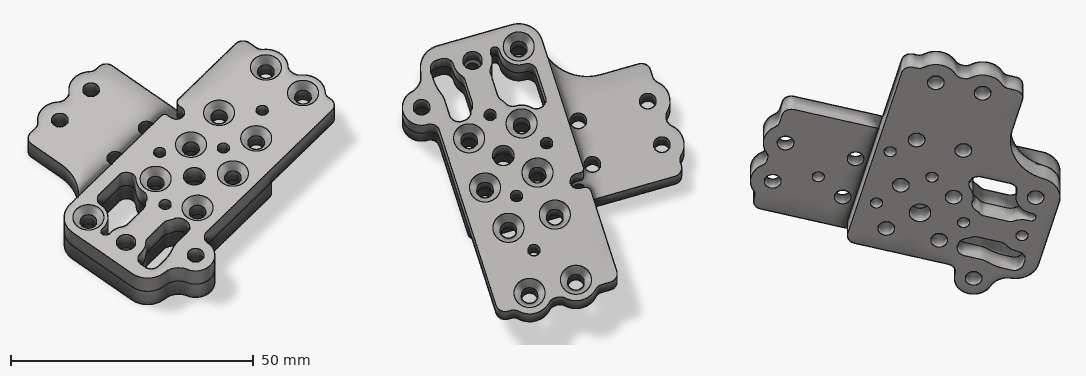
import cadquery as cq
import math

STACK_HEIGHT = 9.5
PLATE_THICKNESS = STACK_HEIGHT / 2

LEFT_EDGE = -15.0
RIGHT_EDGE = 11.0
TOP_EDGE = 33.05
BOTTOM_EDGE = -27.0

ARM_LEFT_EDGE = -35.0
ARM_TOP_EDGE = 13.0
ARM_BOTTOM_EDGE = -12.85
ARM_SWEEP_RADIUS = 10.0

SMALL_RADIUS = 2.0
BOTTOM_CORNER_RADIUS = 5.0
EAR_LOWER_FILLET = 4.05

SCREW_DIAMETER = 3.4
SCREW_PITCH = 10.0
SCREW_ROW_SPACING = 14.95
LOBE_RADIUS = 4.6
LOBE_INSET = 2.55
UPPER_LEFT_LOBE_X = -6.4
ARM_UPPER_LOBE_Y = 5.5

SINK_DIAMETER = 6.4
SINK_ANGLE = 90
SQUARE_SCREW_OFFSET = 5.65

EAR_RADIUS = 4.0
EAR_CENTER = (13.05, -15.0)

NOTCH_CENTER = (-13.15, 9.9)
NOTCH_RADIUS = 1.7
NOTCH_UPPER_LIP = 1.25
NOTCH_LOWER_LIP = 0.9
NOTCH_PIN_CENTER = (-13.2, 10.0)

PIN_DIAMETER = 2.5
PIN_HEAD_DIAMETER = 4.0
CENTER_DIAMETER = 4.4
PIN_OFFSET = 9.3
FAR_PIN_CENTER = (0, 21.75)
HEAD_PIN_CENTER = (0, -21.8)

WALL = 3.0
CLEARANCE_RADIUS = 4.05
RIB_HALF_WIDTH = 2.75
SLOT_BOTTOM = -23.35
BEND_STEP = 0.95
BEND_RADIUS = 10.0
FILLET_REACH = CLEARANCE_RADIUS + SMALL_RADIUS

LEFT_TURN = 1
RIGHT_TURN = -1
UP = 1
DOWN = -1
SHORTEST_LINE = 0.0005

LEFT_CORNER_CENTER = (LEFT_EDGE + BOTTOM_CORNER_RADIUS, BOTTOM_EDGE + BOTTOM_CORNER_RADIUS)
RIGHT_CORNER_CENTER = (RIGHT_EDGE - BOTTOM_CORNER_RADIUS, BOTTOM_EDGE + BOTTOM_CORNER_RADIUS)
UPPER_LEFT_LOBE = (UPPER_LEFT_LOBE_X, TOP_EDGE - LOBE_INSET)
ARM_UPPER_LOBE = (ARM_LEFT_EDGE + LOBE_INSET, ARM_UPPER_LOBE_Y)
NEAR_PIN_CENTER = (0, -PIN_OFFSET)
PIN_CENTERS = [(0, PIN_OFFSET), NEAR_PIN_CENTER, (-PIN_OFFSET, 0)]
LEFT_SCREW = (-SQUARE_SCREW_OFFSET, -SQUARE_SCREW_OFFSET)
RIGHT_SCREW = (SQUARE_SCREW_OFFSET, -SQUARE_SCREW_OFFSET)
SQUARE_SCREWS = [
    (x, y)
    for x in (-SQUARE_SCREW_OFFSET, SQUARE_SCREW_OFFSET)
    for y in (-SQUARE_SCREW_OFFSET, SQUARE_SCREW_OFFSET)
]
UPPER_GRID_SCREWS = [
    (UPPER_LEFT_LOBE[0] + column * SCREW_PITCH, UPPER_LEFT_LOBE[1] - row * SCREW_ROW_SPACING)
    for column in range(2)
    for row in range(2)
]
ARM_GRID_SCREWS = [
    (ARM_UPPER_LOBE[0] + row * SCREW_ROW_SPACING, ARM_UPPER_LOBE[1] - column * SCREW_PITCH)
    for column in range(2)
    for row in range(2)
]


def leg(hypotenuse, other_leg):
    """Second leg of a right triangle."""
    return math.sqrt(hypotenuse**2 - other_leg**2)


def center_touching(first, first_distance, second, second_distance):
    """Point at given distances from two others, on the right of the way from first to second."""
    dx = second[0] - first[0]
    dy = second[1] - first[1]
    span = math.hypot(dx, dy)
    along = (first_distance**2 - second_distance**2 + span**2) / (2 * span)
    aside = leg(first_distance, along)
    return (
        first[0] + (along * dx + aside * dy) / span,
        first[1] + (along * dy - aside * dx) / span,
    )


def tangent_line(first, second):
    """Ends of the straight line from one directed arc (centre, radius, turn) on to the next."""
    (x1, y1), radius1, turn1 = first
    (x2, y2), radius2, turn2 = second
    span = math.hypot(x2 - x1, y2 - y1)
    cosine = (turn1 * radius1 - turn2 * radius2) / span
    normal = math.atan2(y2 - y1, x2 - x1) - math.acos(max(-1, min(1, cosine)))
    start = (x1 + turn1 * radius1 * math.cos(normal), y1 + turn1 * radius1 * math.sin(normal))
    end = (x2 + turn2 * radius2 * math.cos(normal), y2 + turn2 * radius2 * math.sin(normal))
    return start, end


def arc_middle(center, radius, turn, start, end):
    """Point halfway along a directed arc."""
    start_angle = math.atan2(start[1] - center[1], start[0] - center[0])
    end_angle = math.atan2(end[1] - center[1], end[0] - center[0])
    sweep = (end_angle - start_angle) * turn % math.tau
    middle = start_angle + turn * sweep / 2
    return (center[0] + radius * math.cos(middle), center[1] + radius * math.sin(middle))


BETWEEN_HOLES = center_touching(LEFT_SCREW, FILLET_REACH, NEAR_PIN_CENTER, FILLET_REACH)


def smooth_slab(arcs, bottom, height):
    """Slab bounded by directed arcs that run into each other or are joined by tangent lines."""
    lines = [tangent_line(arc, arcs[(i + 1) % len(arcs)]) for i, arc in enumerate(arcs)]
    here = lines[-1][1]
    outline = cq.Workplane("XY", origin=(0, 0, bottom)).moveTo(*here)
    for arc, (line_start, line_end) in zip(arcs, lines):
        outline = outline.threePointArc(arc_middle(*arc, here, line_start), line_start)
        here = line_start
        if math.dist(line_start, line_end) > SHORTEST_LINE:
            outline = outline.lineTo(*line_end)
            here = line_end
    return outline.close().extrude(height)


def corner(x, y, x_inward, y_inward, radius=SMALL_RADIUS):
    """Rounded outer corner, given its sharp point and the directions to the inside."""
    return ((x + x_inward * radius, y + y_inward * radius), radius, LEFT_TURN)


def lobe_arcs(first_lobe, along):
    """Two lobes with fillets on both sides; the plate lies on the left of the way along the edge."""
    along_x, along_y = along
    fillet_outward = LOBE_INSET + SMALL_RADIUS
    fillet_along = leg(LOBE_RADIUS + SMALL_RADIUS, fillet_outward)

    def place(forward, outward):
        return (
            first_lobe[0] + forward * along_x + outward * along_y,
            first_lobe[1] + forward * along_y - outward * along_x,
        )

    arcs = []
    for lobe in (0, SCREW_PITCH):
        arcs.append((place(lobe - fillet_along, fillet_outward), SMALL_RADIUS, RIGHT_TURN))
        arcs.append((place(lobe, 0), LOBE_RADIUS, LEFT_TURN))
        arcs.append((place(lobe + fillet_along, fillet_outward), SMALL_RADIUS, RIGHT_TURN))
    return arcs


def right_side_arcs(top):
    """Lower right corner, ear with its fillets, and upper right corner; both plates share them."""
    lower_fillet = center_touching(
        RIGHT_CORNER_CENTER,
        BOTTOM_CORNER_RADIUS + EAR_LOWER_FILLET,
        EAR_CENTER,
        EAR_RADIUS + EAR_LOWER_FILLET,
    )
    upper_fillet_x = RIGHT_EDGE + SMALL_RADIUS
    upper_fillet_rise = leg(EAR_RADIUS + SMALL_RADIUS, EAR_CENTER[0] - upper_fillet_x)
    upper_fillet = (upper_fillet_x, EAR_CENTER[1] + upper_fillet_rise)
    return [
        (RIGHT_CORNER_CENTER, BOTTOM_CORNER_RADIUS, LEFT_TURN),
        (lower_fillet, EAR_LOWER_FILLET, RIGHT_TURN),
        (EAR_CENTER, EAR_RADIUS, LEFT_TURN),
        (upper_fillet, SMALL_RADIUS, RIGHT_TURN),
        corner(RIGHT_EDGE, top, -1, -1),
    ]


def upper_plate_blank():
    notch_x, notch_y = NOTCH_CENTER
    upper_right_lobe = (UPPER_LEFT_LOBE[0] + SCREW_PITCH, UPPER_LEFT_LOBE[1])
    arcs = [
        *right_side_arcs(TOP_EDGE),
        *lobe_arcs(upper_right_lobe, along=(-1, 0)),
        corner(LEFT_EDGE, TOP_EDGE, 1, -1),
        corner(LEFT_EDGE, notch_y + NOTCH_RADIUS, 1, 1, NOTCH_UPPER_LIP),
        ((notch_x, notch_y), NOTCH_RADIUS, RIGHT_TURN),
        corner(LEFT_EDGE, notch_y - NOTCH_RADIUS, 1, -1, NOTCH_LOWER_LIP),
        (LEFT_CORNER_CENTER, BOTTOM_CORNER_RADIUS, LEFT_TURN),
    ]
    return smooth_slab(arcs, 0, PLATE_THICKNESS)


def lower_plate_blank():
    sweep_y = ARM_BOTTOM_EDGE - ARM_SWEEP_RADIUS
    sweep_reach = leg(BOTTOM_CORNER_RADIUS + ARM_SWEEP_RADIUS, sweep_y - LEFT_CORNER_CENTER[1])
    arcs = [
        *right_side_arcs(ARM_TOP_EDGE),
        corner(ARM_LEFT_EDGE, ARM_TOP_EDGE, 1, -1),
        *lobe_arcs(ARM_UPPER_LOBE, along=(0, -1)),
        corner(ARM_LEFT_EDGE, ARM_BOTTOM_EDGE, 1, 1),
        ((LEFT_CORNER_CENTER[0] - sweep_reach, sweep_y), ARM_SWEEP_RADIUS, RIGHT_TURN),
        (LEFT_CORNER_CENTER, BOTTOM_CORNER_RADIUS, LEFT_TURN),
    ]
    return smooth_slab(arcs, -PLATE_THICKNESS, PLATE_THICKNESS)


def fillet_on_wall(fillet_x, hole, upward):
    """Centre of a fillet that leads from an upright wall onto a clearance circle."""
    return (fillet_x, hole[1] + upward * leg(FILLET_REACH, fillet_x - hole[0]))


def window_round(center):
    return (center, SMALL_RADIUS, RIGHT_TURN)


def around_hole(center):
    return (center, CLEARANCE_RADIUS, LEFT_TURN)


def window_cutter(arcs):
    return smooth_slab(arcs, -PLATE_THICKNESS, 2 * PLATE_THICKNESS)


def left_window():
    fillet_x = LEFT_EDGE + WALL + SMALL_RADIUS
    rib_x = -RIB_HALF_WIDTH - SMALL_RADIUS
    slot_left = LEFT_CORNER_CENTER[0] + CLEARANCE_RADIUS
    slot_right = HEAD_PIN_CENTER[0] - CLEARANCE_RADIUS
    slot_radius = (slot_right - slot_left) / 2
    slot_center = (slot_left + slot_radius, SLOT_BOTTOM + slot_radius)
    return window_cutter([
        window_round(fillet_on_wall(fillet_x, LEFT_SCREW, DOWN)),
        around_hole(LEFT_SCREW),
        window_round(BETWEEN_HOLES),
        around_hole(NEAR_PIN_CENTER),
        window_round(fillet_on_wall(rib_x, NEAR_PIN_CENTER, DOWN)),
        window_round(fillet_on_wall(rib_x, HEAD_PIN_CENTER, UP)),
        around_hole(HEAD_PIN_CENTER),
        (slot_center, slot_radius, RIGHT_TURN),
        around_hole(LEFT_CORNER_CENTER),
        window_round(fillet_on_wall(fillet_x, LEFT_CORNER_CENTER, UP)),
    ])


def right_window():
    wall_x = RIGHT_EDGE - WALL
    rib_x = RIB_HALF_WIDTH + SMALL_RADIUS
    wide_x = wall_x + BEND_STEP
    bottom_y = BOTTOM_EDGE + WALL + SMALL_RADIUS
    ear_clearance = EAR_CENTER[0] - wall_x
    bend_x = wide_x - BEND_RADIUS
    bend_y = EAR_CENTER[1] - leg(ear_clearance + BEND_RADIUS, EAR_CENTER[0] - bend_x)
    bottom_left_x = leg(FILLET_REACH, bottom_y - HEAD_PIN_CENTER[1])
    return window_cutter([
        window_round(fillet_on_wall(rib_x, NEAR_PIN_CENTER, DOWN)),
        around_hole(NEAR_PIN_CENTER),
        window_round((-BETWEEN_HOLES[0], BETWEEN_HOLES[1])),
        around_hole(RIGHT_SCREW),
        window_round(fillet_on_wall(wall_x - SMALL_RADIUS, RIGHT_SCREW, DOWN)),
        (EAR_CENTER, ear_clearance, LEFT_TURN),
        ((bend_x, bend_y), BEND_RADIUS, RIGHT_TURN),
        window_round((wide_x - SMALL_RADIUS, bottom_y)),
        window_round((bottom_left_x, bottom_y)),
        around_hole(HEAD_PIN_CENTER),
        window_round(fillet_on_wall(rib_x, HEAD_PIN_CENTER, UP)),
    ])


def drill(plate, centers, diameter):
    return plate.faces(">Z").workplane(origin=(0, 0, 0)).pushPoints(centers).hole(diameter)


def countersink(plate, centers):
    top = plate.faces(">Z").workplane(origin=(0, 0, 0))
    return top.pushPoints(centers).cskHole(SCREW_DIAMETER, SINK_DIAMETER, SINK_ANGLE)


def make_upper_plate():
    plate = upper_plate_blank().cut(left_window()).cut(right_window())
    plate = countersink(plate, [*UPPER_GRID_SCREWS, *SQUARE_SCREWS, LEFT_CORNER_CENTER])
    plate = drill(plate, [EAR_CENTER], SCREW_DIAMETER)
    plate = drill(plate, [*PIN_CENTERS, FAR_PIN_CENTER], PIN_DIAMETER)
    plate = drill(plate, [HEAD_PIN_CENTER], PIN_HEAD_DIAMETER)
    return drill(plate, [(0, 0)], CENTER_DIAMETER)


def make_lower_plate():
    plate = lower_plate_blank().cut(left_window()).cut(right_window())
    screws = [*ARM_GRID_SCREWS, *SQUARE_SCREWS, LEFT_CORNER_CENTER, EAR_CENTER]
    plate = drill(plate, screws, SCREW_DIAMETER)
    plate = drill(plate, [*PIN_CENTERS, HEAD_PIN_CENTER, NOTCH_PIN_CENTER], PIN_DIAMETER)
    return drill(plate, [(0, 0)], CENTER_DIAMETER)


upper_plate = make_upper_plate()
lower_plate = make_lower_plate()
result = cq.Compound.makeCompound([upper_plate.val(), lower_plate.val()])